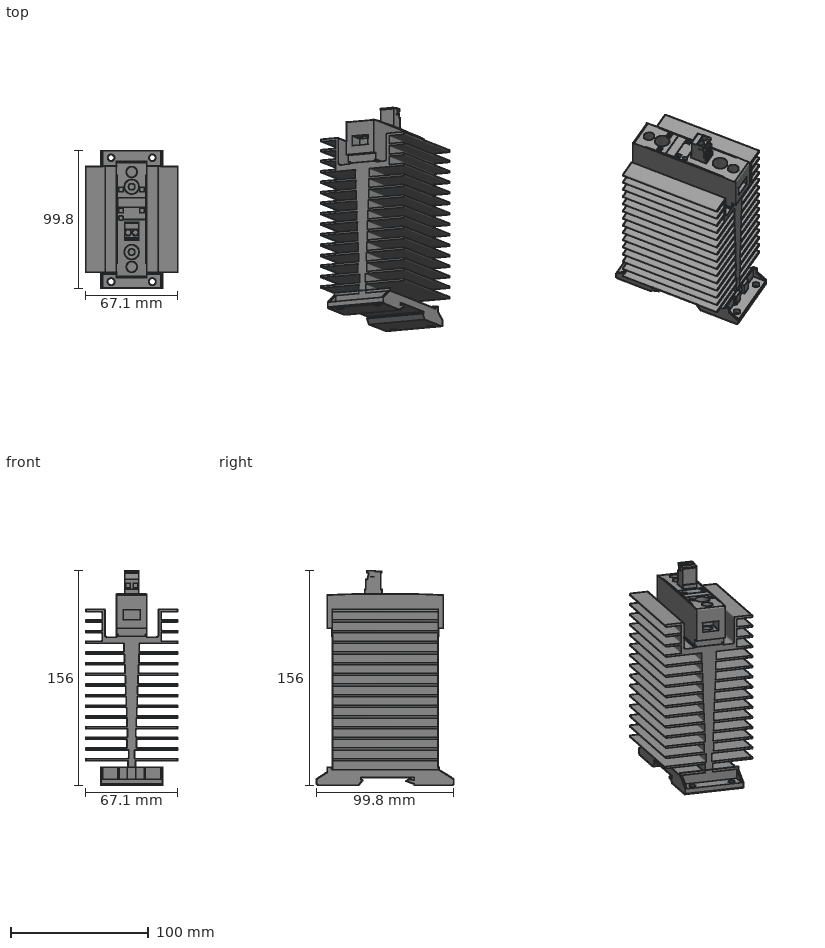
import cadquery as cq
import math

TOTAL_HEIGHT = 156.0
SINK_WIDTH = 67.1
SINK_LENGTH = 76.9
FOOT_LENGTH = 99.8
FOOT_WIDTH = 45.0
HOUSING_WIDTH = 22.2
HOUSING_LENGTH = 84.5

FIN_COUNT = 15
FIN_THICKNESS = 1.5
TOP_FIN_THICKNESS = 1.9
LOWEST_FIN_TOP = 19.3
HIGHEST_FIN_TOP = 127.9
FIN_PITCH = (HIGHEST_FIN_TOP - LOWEST_FIN_TOP) / (FIN_COUNT - 1)
CHANNEL_FIN_COUNT = 3
CHANNEL_WIDTH = 38.7
CHANNEL_WALL = 2.2
CHANNEL_FLOOR_Z = 107.6
CHANNEL_FLOOR_RADIUS = 1.5
CHANNEL_LIP_RADIUS = 1.0
STEM_TOP_HALF_WIDTH = 5.6
STEM_BOTTOM_HALF_WIDTH = 3.1
THICK_GAP_HALF_WIDTH = 3.6
THIN_GAP_HALF_WIDTH = 2.2
STEM_ROOT_HALF_WIDTH = 2.8
ROOT_RADIUS = 0.5
PEDESTAL_HEIGHT = 0.6

HOUSING_BODY_LENGTH = 77.5
HOUSING_OVERHANG_Z = 114.0
HOUSING_SIDE_TOP = 138.7
HOUSING_END_TOP = 138.2
CROWN_TOP = 139.3
CROWN_WIDTH = 20.7
FOOT_NOTCH_DEPTH = 1.1
FOOT_NOTCH_HEIGHT = 1.1
END_ROUND_RADIUS = 1.1
SIDE_SKIN = 0.3
WINDOW_WIDTH = 12.5
WINDOW_BOTTOM = 120.3
WINDOW_TOP = 127.5
WINDOW_DEPTH = 12.6
TERMINAL_Y = 34.5
TERMINAL_RADIUS = 3.9
TERMINAL_BOTTOM = 115.5
BOLT_Y = 23.7
BOLT_HEAD_RADIUS = 5.3
BOLT_RADIUS = 2.3
LATCH_SIZE = 3.3
LATCH_X = 7.6
LATCH_ROWS = (21.7, 6.4)
LATCH_DEPTH = 2.3
LABEL_WIDTH = 20.3
LABEL_LENGTH = 7.0
LABEL_Y = 12.2
LABEL_DEPTH = 0.2
PARTING_GROOVE = 0.2
LAMP_X = -7.8
LAMP_Y = 1.0
LAMP_RADIUS = 1.7
LAMP_DEPTH = 3.1

PLUG_WIDTH = 10.5
PLUG_Y = -8.6
PLUG_BASE_LENGTH = 12.8
PLUG_BODY_BACK = 5.5
PLUG_BODY_FRONT = -5.6
PLUG_BURIED_DEPTH = 1.5
PLUG_BASE_TOP = 142.3
PLUG_FRONT_TOP = 149.6
PLUG_SLOPE_FOOT = -4.5
PLUG_SLOPE_HEAD = -3.5
PLUG_SLOPE_TOP = 154.1
PLUG_LIP_TIP = -5.0
PLUG_LIP_BOTTOM = 154.6
PLUG_HEAD_FRONT = -4.7
PLUG_STEP_Y = 1.4
PLUG_STEP_TOP = 155.4
PLUG_BACK_LIP = 0.5
PLUG_BACK_LIP_BOTTOM = 154.5
PLUG_SCREW_X = 2.7
PLUG_SCREW_OFFSET = -1.0
PLUG_SCREW_RADIUS = 2.2
PLUG_SCREW_DEPTH = 4.7
WIRE_ENTRY_SIZE = 3.3
WIRE_ENTRY_Z = 145.2
WIRE_ENTRY_DEPTH = 1.5

FOOT_TOP = 11.2
WALL_TOP = 13.3
TRAY_FLOOR_Z = 4.5
TRAY_SIDE_WALL = 1.4
FRONT_WALL_Y = -40.0
BACK_WALL_Y = 39.2
FRONT_POST_Y = -42.3
FRONT_POST_BASE_Z = 9.5
FRONT_LEDGE_Z = 12.3
RAIL_SLOT_TOP = 5.5
RAIL_SLOT_BACK = 21.0
RAIL_SLOT_FRONT = -17.6
HOOK_Z = 4.4
HOOK_TIP_Y = -16.2
HOOK_TIP_Z = 3.7
HOOK_FOOT_Y = -19.3
CLAW_TIP_Y = 15.0
CLAW_TIP_Z = 3.0
CLAW_BARB_Y = 17.3
CLAW_BARB_Z = 4.4
CLAW_ROOT_BOTTOM = 1.0
CLAW_ROOT_TOP = 3.9
FOOT_CHAMFER = 1.0
FOOT_HOLE_X = 15.0
FRONT_HOLE_Y = -45.2
FRONT_HOLE_RADIUS = 2.5
BACK_HOLE_Y = 44.8
BACK_HOLE_RADIUS = 2.3
RIB_INNER_X = 3.1
RIB_OUTER_X = 10.0
RIB_STEP = 0.8
RIB_DEPTH = 2.0

SELECT_MARGIN = 0.2
SINK_HALF = SINK_WIDTH / 2
HOUSING_HALF = HOUSING_WIDTH / 2


def block(x0, x1, y0, y1, z0, z1):
    """Box between two opposite corners."""
    return cq.Workplane("XY").box(x1 - x0, y1 - y0, z1 - z0, centered=False).translate((x0, y0, z0))


def bar(x0, x1, z0, z1, length):
    """Box between two X and two Z limits, centred along Y."""
    return block(x0, x1, -length / 2, length / 2, z0, z1)


def post(x, y, radius, z0, z1):
    """Vertical cylinder from z0 up to z1."""
    return cq.Workplane("XY").circle(radius).extrude(z1 - z0).translate((x, y, z0))


def side_profile(points, width):
    """Closed (y, z) outline extruded along X, centred on X = 0."""
    return cq.Workplane("YZ").polyline(points).close().extrude(width / 2, both=True)


def filleted_wall(x0, x1, z0, z1, radius):
    """Wall from x0 out to x1 whose outer face flares out at both ends in concave fillets."""
    bulge = radius * (1 - math.sqrt(0.5))
    return (
        cq.Workplane("XZ")
        .moveTo(x0, z0)
        .lineTo(x1 + radius, z0)
        .threePointArc((x1 + bulge, z0 + bulge), (x1, z0 + radius))
        .lineTo(x1, z1 - radius)
        .threePointArc((x1 + bulge, z1 - bulge), (x1 + radius, z1))
        .lineTo(x0, z1)
        .close()
        .extrude(SINK_LENGTH / 2, both=True)
    )


def fin_top(index):
    """Upper face of a fin, counted from the lowest one."""
    return LOWEST_FIN_TOP + index * FIN_PITCH


def fin(x0, x1, top, thickness):
    """Fin with fully rounded edges, running along Y."""
    outline = cq.Workplane("XZ").slot2D(x1 - x0, thickness)
    plate = outline.extrude(SINK_LENGTH / 2, both=True)
    return plate.translate(((x0 + x1) / 2, 0, top - thickness / 2))


def fins():
    full_count = FIN_COUNT - CHANNEL_FIN_COUNT
    parts = [fin(-SINK_HALF, SINK_HALF, fin_top(i), FIN_THICKNESS) for i in range(full_count)]
    wall_middle = (CHANNEL_WIDTH + CHANNEL_WALL) / 2
    for index in range(full_count, FIN_COUNT):
        thickness = TOP_FIN_THICKNESS if index == FIN_COUNT - 1 else FIN_THICKNESS
        side_fin = fin(wall_middle, SINK_HALF, fin_top(index), thickness)
        parts += [side_fin, side_fin.mirror("YZ")]
    return parts


def stem():
    """Central web: one straight segment per gap between fins, listed from the bottom up."""
    half_widths = [STEM_ROOT_HALF_WIDTH, THIN_GAP_HALF_WIDTH, THICK_GAP_HALF_WIDTH]
    tapered_gaps = FIN_COUNT - CHANNEL_FIN_COUNT - len(half_widths)
    taper = (STEM_TOP_HALF_WIDTH - STEM_BOTTOM_HALF_WIDTH) / (tapered_gaps - 1)
    half_widths += [STEM_BOTTOM_HALF_WIDTH + taper * step for step in range(tapered_gaps)]
    bottom = FOOT_TOP - ROOT_RADIUS
    parts = []
    for index, half_width in enumerate(half_widths):
        top = fin_top(index)
        fin_bottom = top - FIN_THICKNESS
        web = filleted_wall(0, half_width, bottom, fin_bottom, ROOT_RADIUS)
        bridge = bar(-half_width, half_width, fin_bottom, top, SINK_LENGTH)
        parts += [web, web.mirror("YZ"), bridge]
        bottom = top
    return parts


def channel():
    """Upright channel on top of the stem that holds the housing."""
    inner = CHANNEL_WIDTH / 2
    outer = inner + CHANNEL_WALL
    shelf_top = fin_top(FIN_COUNT - CHANNEL_FIN_COUNT - 1)
    floor = bar(-outer, outer, shelf_top - FIN_THICKNESS, CHANNEL_FLOOR_Z, SINK_LENGTH)
    pedestal_top = CHANNEL_FLOOR_Z + PEDESTAL_HEIGHT
    pedestal = bar(-HOUSING_HALF, HOUSING_HALF, CHANNEL_FLOOR_Z, pedestal_top, SINK_LENGTH)
    trough = bar(-inner, inner, CHANNEL_FLOOR_Z, HIGHEST_FIN_TOP, SINK_LENGTH)
    trough = trough.edges("|Y and <Z").fillet(CHANNEL_FLOOR_RADIUS)
    walls = bar(-outer, outer, CHANNEL_FLOOR_Z, HIGHEST_FIN_TOP, SINK_LENGTH).cut(trough)
    lips = cq.selectors.BoxSelector(
        (-inner - SELECT_MARGIN, -SINK_LENGTH, HIGHEST_FIN_TOP - SELECT_MARGIN),
        (inner + SELECT_MARGIN, SINK_LENGTH, HIGHEST_FIN_TOP + SELECT_MARGIN),
    )
    walls = walls.edges("|Y").edges(lips).fillet(CHANNEL_LIP_RADIUS)
    parts = [floor, walls, pedestal]
    for index in range(FIN_COUNT - CHANNEL_FIN_COUNT, FIN_COUNT):
        thickness = TOP_FIN_THICKNESS if index == FIN_COUNT - 1 else FIN_THICKNESS
        gap_top = fin_top(index) - thickness
        skin = filleted_wall((inner + outer) / 2, outer, fin_top(index - 1), gap_top, ROOT_RADIUS)
        parts += [skin, skin.mirror("YZ")]
    return parts


def crowned_block(width):
    """Overhanging upper housing with a top that arches along Y."""
    half_length = HOUSING_LENGTH / 2
    return (
        cq.Workplane("YZ")
        .moveTo(-half_length, HOUSING_OVERHANG_Z)
        .lineTo(-half_length, HOUSING_END_TOP)
        .threePointArc((0, CROWN_TOP), (half_length, HOUSING_END_TOP))
        .lineTo(half_length, HOUSING_OVERHANG_Z)
        .close()
        .extrude(width / 2, both=True)
    )


def housing_shell():
    base_z = CHANNEL_FLOOR_Z + PEDESTAL_HEIGHT
    flat_top = bar(-HOUSING_HALF, HOUSING_HALF, base_z, HOUSING_SIDE_TOP, HOUSING_LENGTH)
    shell = crowned_block(HOUSING_WIDTH).intersect(flat_top).union(crowned_block(CROWN_WIDTH))
    shell = shell.union(
        bar(-HOUSING_HALF, HOUSING_HALF, base_z, HOUSING_OVERHANG_Z, HOUSING_BODY_LENGTH)
    )
    for sign in (-1, 1):
        edge = sign * HOUSING_HALF
        x0, x1 = sorted((edge, edge - sign * FOOT_NOTCH_DEPTH))
        shell = shell.cut(bar(x0, x1, base_z, base_z + FOOT_NOTCH_HEIGHT, HOUSING_LENGTH))
    return shell


def end_rounding():
    """Material removed to round the upper front edge between the thin side skins."""
    radius = END_ROUND_RADIUS
    half_width = HOUSING_HALF - SIDE_SKIN
    y0 = -HOUSING_LENGTH / 2
    z0 = HOUSING_END_TOP - radius
    corner = block(-half_width, half_width, y0, y0 + radius, z0, HOUSING_SIDE_TOP)
    rod = (
        cq.Workplane("YZ").center(y0 + radius, z0).circle(radius).extrude(HOUSING_WIDTH, both=True)
    )
    return corner.cut(rod)


def terminal_cuts():
    """Wire window, terminal hole and bolt well at the front end of the housing."""
    half_window = WINDOW_WIDTH / 2
    front_y = -HOUSING_LENGTH / 2
    window = block(
        -half_window, half_window, front_y, front_y + WINDOW_DEPTH, WINDOW_BOTTOM, WINDOW_TOP
    )
    terminal = post(0, -TERMINAL_Y, TERMINAL_RADIUS, TERMINAL_BOTTOM, CROWN_TOP)
    bolt_head = post(0, -BOLT_Y, BOLT_HEAD_RADIUS, WINDOW_BOTTOM, CROWN_TOP)
    bolt = post(0, -BOLT_Y, BOLT_RADIUS, HOUSING_OVERHANG_Z, WINDOW_BOTTOM)
    return [end_rounding(), window, terminal, bolt_head, bolt]


def top_face_cuts():
    """Latch pockets, label recess, parting groove and lamp hole."""
    half_latch = LATCH_SIZE / 2
    cuts = []
    for y in LATCH_ROWS:
        for x in (-LATCH_X, LATCH_X):
            cuts.append(
                block(x - half_latch, x + half_latch, y - half_latch, y + half_latch,
                      CROWN_TOP - LATCH_DEPTH, CROWN_TOP)
            )
    label = crowned_block(LABEL_WIDTH).intersect(
        bar(-LABEL_WIDTH / 2, LABEL_WIDTH / 2, HOUSING_SIDE_TOP, CROWN_TOP, LABEL_LENGTH)
        .translate((0, LABEL_Y, 0))
    )
    cuts.append(label.cut(crowned_block(LABEL_WIDTH).translate((0, 0, -LABEL_DEPTH))))
    cuts.append(
        bar(LAMP_X, LABEL_WIDTH / 2, CROWN_TOP - PARTING_GROOVE, CROWN_TOP, PARTING_GROOVE)
    )
    cuts.append(post(LAMP_X, LAMP_Y, LAMP_RADIUS, CROWN_TOP - LAMP_DEPTH, CROWN_TOP))
    return cuts


def housing():
    shell = housing_shell()
    for cut in terminal_cuts():
        shell = shell.cut(cut).cut(cut.mirror("XZ"))
    for cut in top_face_cuts():
        shell = shell.cut(cut)
    return shell


def connector():
    """Plug in local Y, moved to its place along the housing at the end."""
    bottom = HOUSING_SIDE_TOP - PLUG_BURIED_DEPTH
    base_end = PLUG_BASE_LENGTH / 2
    back_lip_y = PLUG_BODY_BACK + PLUG_BACK_LIP
    outline = [
        (-base_end, bottom),
        (base_end, bottom),
        (base_end, PLUG_BASE_TOP),
        (PLUG_BODY_BACK, PLUG_BASE_TOP),
        (PLUG_BODY_BACK, PLUG_BACK_LIP_BOTTOM),
        (back_lip_y, PLUG_BACK_LIP_BOTTOM),
        (back_lip_y, PLUG_STEP_TOP),
        (PLUG_STEP_Y, PLUG_STEP_TOP),
        (PLUG_STEP_Y, TOTAL_HEIGHT),
        (PLUG_HEAD_FRONT, TOTAL_HEIGHT),
        (PLUG_LIP_TIP, PLUG_LIP_BOTTOM),
        (PLUG_SLOPE_HEAD, PLUG_SLOPE_TOP),
        (PLUG_SLOPE_FOOT, PLUG_FRONT_TOP),
        (PLUG_BODY_FRONT, PLUG_FRONT_TOP),
        (PLUG_BODY_FRONT, PLUG_BASE_TOP),
        (-base_end, PLUG_BASE_TOP),
    ]
    plug = side_profile(outline, PLUG_WIDTH)
    entry_end = PLUG_BODY_FRONT + WIRE_ENTRY_DEPTH
    half_entry = WIRE_ENTRY_SIZE / 2
    screw_bottom = TOTAL_HEIGHT - PLUG_SCREW_DEPTH
    for x in (-PLUG_SCREW_X, PLUG_SCREW_X):
        screw = post(x, PLUG_SCREW_OFFSET, PLUG_SCREW_RADIUS, screw_bottom, TOTAL_HEIGHT)
        entry = block(
            x - half_entry, x + half_entry, PLUG_BODY_FRONT, entry_end,
            WIRE_ENTRY_Z - half_entry, WIRE_ENTRY_Z + half_entry,
        )
        plug = plug.cut(screw).cut(entry)
    return plug.translate((0, PLUG_Y, 0))


def foot_body():
    end = FOOT_LENGTH / 2
    sink_end = SINK_LENGTH / 2
    outline = [
        (HOOK_FOOT_Y, 0),
        (-end + FOOT_CHAMFER, 0),
        (-end, FOOT_CHAMFER),
        (-end, TRAY_FLOOR_Z),
        (FRONT_POST_Y, FRONT_POST_BASE_Z),
        (FRONT_POST_Y, WALL_TOP),
        (-BACK_WALL_Y, WALL_TOP),
        (-BACK_WALL_Y, FRONT_LEDGE_Z),
        (-sink_end, FRONT_LEDGE_Z),
        (-sink_end, FOOT_TOP),
        (sink_end, FOOT_TOP),
        (sink_end, WALL_TOP),
        (BACK_WALL_Y, WALL_TOP),
        (BACK_WALL_Y, FOOT_TOP),
        (end, TRAY_FLOOR_Z),
        (end, FOOT_CHAMFER),
        (end - FOOT_CHAMFER, 0),
        (RAIL_SLOT_BACK, 0),
        (RAIL_SLOT_BACK, CLAW_ROOT_BOTTOM),
        (CLAW_TIP_Y, CLAW_TIP_Z),
        (CLAW_BARB_Y, CLAW_BARB_Z),
        (RAIL_SLOT_BACK, CLAW_ROOT_TOP),
        (RAIL_SLOT_BACK, RAIL_SLOT_TOP),
        (RAIL_SLOT_FRONT, RAIL_SLOT_TOP),
        (RAIL_SLOT_FRONT, HOOK_Z),
        (HOOK_TIP_Y, HOOK_TIP_Z),
    ]
    return side_profile(outline, FOOT_WIDTH)


def ribs():
    """Pair of stepped stiffening ribs on the front wall."""
    wall_y = FRONT_WALL_Y
    main_x = RIB_OUTER_X - RIB_STEP
    main = block(RIB_INNER_X, main_x, wall_y - RIB_DEPTH, wall_y, TRAY_FLOOR_Z, WALL_TOP)
    step = block(RIB_INNER_X, RIB_OUTER_X, wall_y - RIB_DEPTH / 2, wall_y, TRAY_FLOOR_Z, WALL_TOP)
    rib = main.union(step)
    return [rib, rib.mirror("YZ")]


def foot():
    body = foot_body()
    half_tray = FOOT_WIDTH / 2 - TRAY_SIDE_WALL
    end = FOOT_LENGTH / 2
    body = body.cut(block(-half_tray, half_tray, -end, FRONT_WALL_Y, TRAY_FLOOR_Z, WALL_TOP))
    body = body.cut(block(-half_tray, half_tray, BACK_WALL_Y, end, TRAY_FLOOR_Z, WALL_TOP))
    for x in (-FOOT_HOLE_X, FOOT_HOLE_X):
        body = body.cut(post(x, FRONT_HOLE_Y, FRONT_HOLE_RADIUS, 0, TRAY_FLOOR_Z))
        body = body.cut(post(x, BACK_HOLE_Y, BACK_HOLE_RADIUS, 0, TRAY_FLOOR_Z))
    for rib in ribs():
        body = body.union(rib)
    return body


parts = stem() + fins() + channel() + [housing(), connector()]
joined = foot().val().fuse(*[part.val() for part in parts]).clean()
result = cq.Workplane(joined)